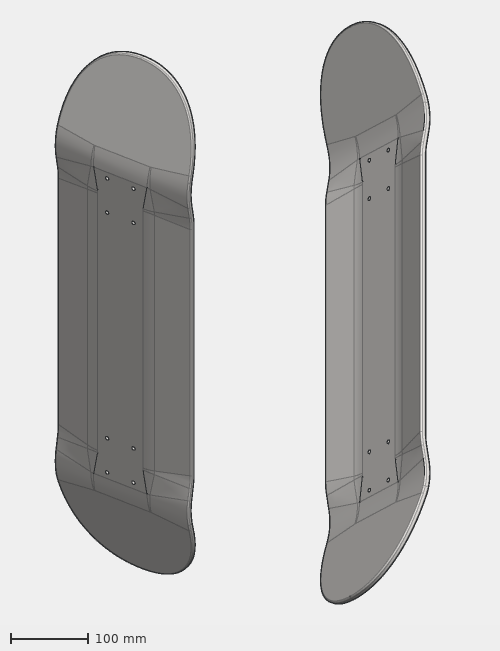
import cadquery as cq
import math

length = 808.5
half_length = length / 2
half_width = 104.7
front_y = -27.5
thickness = 8.5
tail_angle = 17.9
edge_rise = 10.0
rim_radius = 2.0

crease_x = 44.05
crease_side_fold_z = 205.0
crease_side_fold_reach = 2.0
crease_tail_fold_z = 258.0
crease_tail_fold_reach = 15.0

edge_side_fold_z = 204.5
edge_side_fold_reach = 10.0
edge_tail_fold_z = 256.0
edge_tail_fold_reach = 25.0

ramp_pull = 0.25

crease_half_width = 8.5
crease_half_width_at_tail_fold = [2.5, 2.0, 1.0]

side_length = 271.0
corner_side_pull = 82.5
corner_tip_pull = 65.0

hole_diameter = 5.0
hole_spacing_x = 41.0
hole_z = [179.0, 233.0]

tail_slope = math.tan(math.radians(tail_angle))
back = cq.Vector(0, thickness, 0)


def tail_y(z):
    """Front face of the tilted nose plane at height z."""
    return front_y + tail_slope * (z - crease_tail_fold_z)


def stations(x, rise, side_z, side_reach, tail_z, tail_reach):
    """Points from mid-length to the nose: middle, then start, corner and end of both folds."""
    side_y = front_y + rise
    side_corner = cq.Vector(x, side_y, side_z)
    tail_corner = cq.Vector(x, tail_y(tail_z), tail_z)
    ramp = (tail_corner - side_corner) / (tail_z - side_z)
    return [
        cq.Vector(x, side_y, 0),
        cq.Vector(x, side_y, side_z - side_reach),
        side_corner,
        side_corner + ramp * side_reach,
        tail_corner - ramp * tail_reach,
        tail_corner,
        cq.Vector(x, tail_y(tail_z + tail_reach), tail_z + tail_reach),
    ]


def folded_edges(points):
    """Three edges along the stations: side fold, straight ramp, tail fold."""
    ramp_start = points[3] + (points[3] - points[2]) * ramp_pull
    ramp_end = points[4] - (points[5] - points[4]) * ramp_pull
    return [
        cq.Edge.makeBezier(points[1:4]),
        cq.Edge.makeBezier([points[3], ramp_start, ramp_end, points[4]]),
        cq.Edge.makeBezier(points[4:7]),
    ]


def mirrored(point):
    return cq.Vector(-point.x, point.y, point.z)


def flipped(point):
    return cq.Vector(point.x, point.y, -point.z)


def polygon(points):
    return cq.Face.makeFromWires(cq.Wire.makePolygon(points, close=True))


def smooth_strip(*edges):
    """One smooth face through several edges lying side by side."""
    wires = [cq.Wire.assembleEdges([edge]) for edge in edges]
    return cq.occ_impl.shapes.loft(*wires).Faces()[0]


def thicken(face):
    return cq.Solid.extrudeLinear(face, back)


crease = stations(
    crease_x, 0, crease_side_fold_z, crease_side_fold_reach, crease_tail_fold_z, crease_tail_fold_reach
)
edge = stations(
    half_width, edge_rise, edge_side_fold_z, edge_side_fold_reach, edge_tail_fold_z, edge_tail_fold_reach
)
half_widths = [crease_half_width] * 4 + crease_half_width_at_tail_fold
inner = [c - cq.Vector(h, 0, 0) for c, h in zip(crease, half_widths)]
outer = [c + (e - c) * (h / (half_width - crease_x)) for c, e, h in zip(crease, edge, half_widths)]
middle = [(i + c * 2 + o) / 4 for i, c, o in zip(inner, crease, outer)]

middle[-1] = (inner[-1] + outer[-1]) / 2

inner_line, middle_line, outer_line = [
    cq.Edge.makeLine(flipped(points[1]), points[1]) for points in (inner, middle, outer)
]
inner_folds, middle_folds, outer_folds, edge_folds = [
    folded_edges(points) for points in (inner, middle, outer, edge)
]

straight_crease = thicken(smooth_strip(inner_line, middle_line, outer_line))
upper_creases = [
    thicken(smooth_strip(*edges)) for edges in zip(inner_folds, middle_folds, outer_folds)
]
creases = [straight_crease] + upper_creases + [panel.mirror("XY") for panel in upper_creases]
creases += [panel.mirror("YZ") for panel in creases]

panel_side = [inner[4], inner[3], inner[1]]
panel_side += [flipped(p) for p in reversed(panel_side)]
centre_panel = thicken(polygon(panel_side + [mirrored(p) for p in reversed(panel_side)]))

upper_fold = thicken(cq.Face.makeRuledSurface(inner_folds[-1], inner_folds[-1].mirror("YZ")))
centre = [centre_panel, upper_fold, upper_fold.mirror("XY")]

wing_faces = [polygon([outer[0], outer[1], edge[1], edge[0]])]
wing_faces += [cq.Face.makeRuledSurface(*edges) for edges in zip(outer_folds, edge_folds)]
nose_face = polygon([
    cq.Vector(0, inner[-1].y, inner[-1].z),
    inner[-1],
    outer[-1],
    edge[-1],
    cq.Vector(half_width, tail_y(half_length), half_length),
    cq.Vector(0, tail_y(half_length), half_length),
])
nose = thicken(nose_face)
untrimmed = nose.fuse(*[thicken(face) for face in wing_faces])

side_end = cq.Vector(half_width, 0, side_length)
outline_corner = cq.Edge.makeBezier([
    side_end,
    side_end + cq.Vector(0, 0, corner_side_pull),
    cq.Vector(corner_tip_pull, 0, half_length),
    cq.Vector(0, 0, half_length),
])
outline_sides = cq.Wire.makePolygon(
    [cq.Vector(0, 0, half_length), cq.Vector(0, 0, 0), cq.Vector(half_width, 0, 0), side_end]
)
outline_wire = cq.Wire.assembleEdges(outline_sides.Edges() + [outline_corner])
outline = cq.Solid.extrudeLinear(cq.Face.makeFromWires(outline_wire), cq.Vector(0, 2 * half_width, 0))
outline = outline.translate(cq.Vector(0, -half_width, 0))

quarter = cq.Workplane(untrimmed.intersect(outline).clean())
quarter = quarter.faces(">X or >Z").edges("not |Y").fillet(rim_radius).val()
upper_quarters = [quarter, quarter.mirror("YZ")]
quarters = upper_quarters + [part.mirror("XY") for part in upper_quarters]

deck = cq.Workplane(centre_panel.fuse(*centre[1:], *creases, *quarters).clean())

hole_points = [
    (side * hole_spacing_x / 2, end * z) for side in (-1, 1) for end in (-1, 1) for z in hole_z
]
holes = cq.Workplane("XZ").pushPoints(hole_points).circle(hole_diameter / 2).extrude(half_width, both=True)
result = deck.cut(holes)